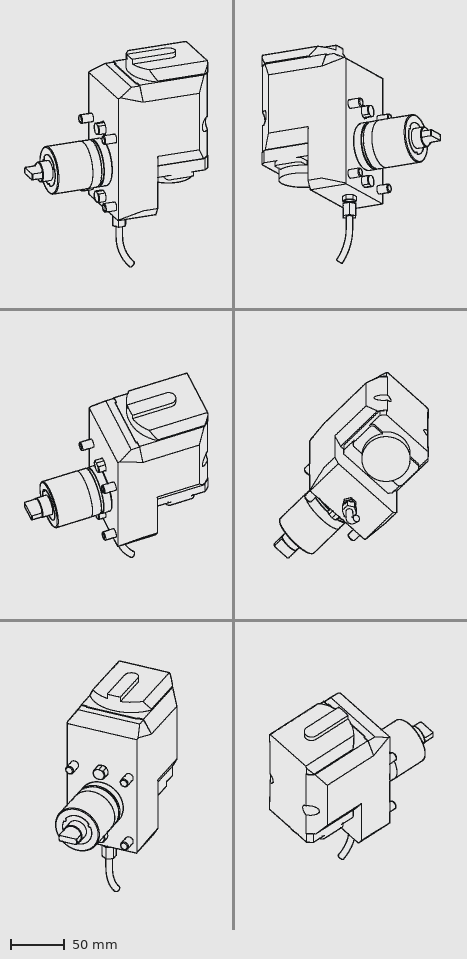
import cadquery as cq
import math


half_width = 40.0
back = 94.0
wall_depth = 38.0
top = 85.4
front_bottom = -45.8
rear_bottom = 1.5
top_bevel_start = 71.3
front_bevel_start = -37.9
rear_bevel_start = 14.5
bevel_slope = math.tan(math.radians(60))
taper_depth = 23.3
taper_inset = 4.2
back_chamfer = 14.0
front_bevel_depth = 15.0
front_bevel_bottom = 76.5
step_drop = 0.8
step_notch = 1.3
step_tongue_half = 26.0
overcut = 21.0

flange_y = 65.2
flange_radius = 39.3
upper_flange_half = 31.5
upper_flange_top = 96.5
upper_flange_lip = 1.0
lower_flange_half = 31.1
lower_flange_bottom = -10.5
key_width = 13.5
key_top = 101.4
key_flat_depth = 0.2
ring_diameter = 45.0
ring_bottom = -22.5
lug_width = 27.8
lug_bottom = -15.0
lug_radius = 3.5

collar_diameter = 44.8
collar_end = 8.5
groove_diameter = 42.0
groove_end = 11.0
band_end = 20.0
nose_diameter = 45.0
nose_end = 55.0
nose_chamfer = 0.8
cover_diameter = 29.9
cover_recess = 0.5
cover_scallop_diameter = 3.4
cover_scallop_angles = (30, 150, 270)
shaft_diameter = 19.0
shaft_end = 65.0
tang_end = 75.7
tang_thickness = 5.9
tang_root_radius = 2.0
shaft_chamfer = 0.6

screw_x = 28.0
fastener_z = 34.0
screw_diameter = 8.2
upper_screw_length = 12.0
lower_screw_length = 11.4
screw_chamfer = 0.8
screw_pocket_diameter = 13.5
screw_pocket_depth = 16.8
pin_diameter = 12.0
pin_length = 7.1
pin_chamfer = 0.6
pin_ridge = 5.3
pin_flat_half = 4.2
pin_hole_diameter = 12.5
pin_hole_depth = 1.7

gland_y = 16.0
adapter_corners = 13.0
adapter_bottom = -50.3
neck_diameter = 8.8
neck_bottom = -52.2
collar_ring_diameter = 9.9
collar_ring_bottom = -53.5
nut_corners = 13.5
nut_bottom = -65.6
cable_diameter = 6.3
cable_lowest = -109.0
cable_bend_angle = 45.0
cable_bend_radius = 41.0
cable_swing = 11.0


def box(x0, x1, y0, y1, z0, z1):
    return cq.Workplane("XY").box(x1 - x0, y1 - y0, z1 - z0, centered=False).translate((x0, y0, z0))


def rod(diameter, y0, y1, x=0, z=0):
    """Cylinder parallel to Y."""
    return cq.Workplane("XZ", origin=(x, y0, z)).circle(diameter / 2).extrude(y0 - y1)


def post(diameter, z0, z1, y):
    """Cylinder parallel to Z."""
    return cq.Workplane("XY", origin=(0, y, z0)).circle(diameter / 2).extrude(z1 - z0)


def both_sides(shape):
    return shape.union(shape.mirror("YZ"))


def bevelled_block(y0, y1, bottom, bottom_bevel_start, block_top=top):
    """Block with its top and bottom side edges bevelled at 60 degrees.

    A lowered top keeps its width, which makes its side bevels slightly flatter.
    """
    top_half = half_width - (top - top_bevel_start) / bevel_slope
    bottom_half = half_width - (bottom_bevel_start - bottom) / bevel_slope
    right_side = [
        (bottom_half, bottom),
        (half_width, bottom_bevel_start),
        (half_width, top_bevel_start),
        (top_half, block_top),
    ]
    left_side = [(-x, z) for x, z in reversed(right_side)]
    outline = cq.Workplane("XZ", origin=(0, y0, 0)).polyline(right_side + left_side).close()
    return outline.extrude(y0 - y1)


def housing():
    step_top = top - step_drop
    body = bevelled_block(0, taper_depth, front_bottom, front_bevel_start, step_top)
    tongue_front = taper_depth - step_notch
    body = body.union(box(-step_tongue_half, step_tongue_half, tongue_front, taper_depth, rear_bottom, top))
    body = body.union(bevelled_block(taper_depth, wall_depth, front_bottom, front_bevel_start))
    body = body.union(bevelled_block(wall_depth, back, rear_bottom, rear_bevel_start))

    plan = [
        (half_width - taper_inset, 0),
        (half_width, taper_depth),
        (half_width, back - back_chamfer),
        (half_width - back_chamfer, back),
    ]
    plan += [(-x, y) for x, y in reversed(plan)]
    plan_outline = cq.Workplane("XY", origin=(0, 0, front_bottom)).polyline(plan).close()
    body = body.intersect(plan_outline.extrude(top - front_bottom))

    front_bevel = (
        cq.Workplane("YZ", origin=(-half_width, 0, 0))
        .polyline([(0, front_bevel_bottom), (front_bevel_depth, step_top), (0, step_top)])
        .close()
        .extrude(2 * half_width)
    )
    pocket = rod(screw_pocket_diameter, back - screw_pocket_depth, back + overcut, screw_x, fastener_z)
    return body.cut(front_bevel).cut(both_sides(pocket))


def upper_flange():
    lip_top = top + upper_flange_lip
    top_half = upper_flange_half - (upper_flange_top - lip_top) / bevel_slope
    profile = [
        (upper_flange_half, top),
        (upper_flange_half, lip_top),
        (top_half, upper_flange_top),
    ]
    profile += [(-x, z) for x, z in reversed(profile)]
    prism = cq.Workplane("XZ").polyline(profile).close().extrude(-back)

    key_bar = box(-key_width / 2, key_width / 2, 0, flange_y, top, key_top)
    key = key_bar.union(post(key_width, top, key_top, flange_y))

    front_flat = flange_y - flange_radius + key_flat_depth
    disc = post(2 * flange_radius, top, key_top, flange_y)
    disc = disc.intersect(box(-half_width, half_width, front_flat, back, top, key_top))
    return disc.intersect(prism.union(key))


def lower_flange():
    disc = post(2 * flange_radius, lower_flange_bottom, rear_bottom, flange_y)
    limits = box(-lower_flange_half, lower_flange_half, wall_depth, back, lower_flange_bottom, rear_bottom)
    ring = post(ring_diameter, ring_bottom, lower_flange_bottom, flange_y)
    lugs = (
        cq.Workplane("XY", origin=(0, flange_y, lug_bottom))
        .rect(2 * lower_flange_half, lug_width)
        .extrude(lower_flange_bottom - lug_bottom)
        .edges("|Z")
        .fillet(lug_radius)
    )
    return disc.intersect(limits).union(ring).union(lugs)


def cover_outline_recess():
    """Shallow round recess in the nose face, with three scallops left standing at its rim."""
    recess = rod(cover_diameter, -nose_end, cover_recess - nose_end)
    for angle in cover_scallop_angles:
        x = cover_diameter / 2 * math.cos(math.radians(angle))
        z = cover_diameter / 2 * math.sin(math.radians(angle))
        recess = recess.cut(rod(cover_scallop_diameter, -nose_end, cover_recess - nose_end, x, z))
    return recess


def drive_shaft():
    """Shaft with a flat tang; both roots of the tang are rounded into the shaft end."""
    half = tang_thickness / 2
    root_half = half + tang_root_radius
    shaft = rod(shaft_diameter, -shaft_end, 0).faces("<Y").chamfer(shaft_chamfer)
    round_bar = rod(shaft_diameter, -tang_end, -shaft_end).faces("<Y").chamfer(shaft_chamfer)
    tang_profile = (
        cq.Workplane("YZ", origin=(-shaft_diameter / 2, 0, 0))
        .moveTo(-shaft_end, root_half)
        .radiusArc((-shaft_end - tang_root_radius, half), tang_root_radius)
        .lineTo(-tang_end, half)
        .lineTo(-tang_end, -half)
        .lineTo(-shaft_end - tang_root_radius, -half)
        .radiusArc((-shaft_end, -root_half), tang_root_radius)
        .close()
    )
    return shaft.union(round_bar.intersect(tang_profile.extrude(shaft_diameter)))


def spindle():
    nose = rod(nose_diameter, -nose_end, -band_end).faces("<Y").chamfer(nose_chamfer)
    nose = nose.cut(cover_outline_recess())
    band = rod(collar_diameter, -band_end, -groove_end)
    groove = rod(groove_diameter, -groove_end, -collar_end)
    collar = rod(collar_diameter, -collar_end, 0).faces(">Y").chamfer(nose_chamfer)
    return nose.union(band).union(groove).union(collar).union(drive_shaft())


def screws():
    shape = cq.Workplane("XY")
    for z, length in ((fastener_z, upper_screw_length), (-fastener_z, lower_screw_length)):
        screw = rod(screw_diameter, -length, 0, screw_x, z).faces("<Y").chamfer(screw_chamfer)
        shape = shape.union(both_sides(screw))
    return shape


def relieved_pin(z, inner_end):
    """Locating pin with two flats meeting in a ridge above and below its axis."""
    pin = rod(pin_diameter, -pin_length, inner_end).faces("<Y").chamfer(pin_chamfer)
    flat_end_z = math.sqrt((pin_diameter / 2) ** 2 - pin_flat_half ** 2)
    side_x = pin_diameter / 2
    flat_slope = (pin_ridge - flat_end_z) / pin_flat_half
    side_z = pin_ridge - flat_slope * side_x
    outline = [(0, pin_ridge), (side_x, side_z), (side_x, -side_z)]
    outline += [(-x, -height) for x, height in outline]
    relief = cq.Workplane("XZ", origin=(0, -pin_length, 0)).polyline(outline).close()
    return pin.intersect(relief.extrude(-pin_length - inner_end)).translate((0, 0, z))


def hexagon(corners, z0, z1, turn):
    prism = cq.Workplane("XY").polygon(6, corners).extrude(z1 - z0)
    return prism.rotate((0, 0, 0), (0, 0, 1), turn).translate((0, gland_y, z0))


def cable():
    end_angle = math.radians(cable_bend_angle)
    swing = math.radians(cable_swing)
    end_z = cable_lowest + cable_diameter / 2 * math.sin(end_angle)
    bend_start = end_z + cable_bend_radius * math.sin(end_angle)

    def bend_point(angle):
        return (
            cable_bend_radius * (1 - math.cos(angle)),
            bend_start - cable_bend_radius * math.sin(angle),
        )

    bend_plane = cq.Plane(
        origin=(0, gland_y, 0),
        xDir=(math.sin(swing), math.cos(swing), 0),
        normal=(math.cos(swing), -math.sin(swing), 0),
    )
    path = (
        cq.Workplane(bend_plane)
        .moveTo(0, nut_bottom)
        .lineTo(0, bend_start)
        .threePointArc(bend_point(end_angle / 2), bend_point(end_angle))
    )
    return cq.Workplane("XY", origin=(0, gland_y, nut_bottom)).circle(cable_diameter / 2).sweep(path)


def cable_gland():
    adapter = hexagon(adapter_corners, adapter_bottom, front_bottom, 0)
    neck = post(neck_diameter, neck_bottom, adapter_bottom, gland_y)
    collar_ring = post(collar_ring_diameter, collar_ring_bottom, neck_bottom, gland_y)
    nut = hexagon(nut_corners, nut_bottom, collar_ring_bottom, 30)
    return adapter.union(neck).union(collar_ring).union(nut).union(cable())


upper_pin_hole = rod(pin_hole_diameter, 0, pin_hole_depth, 0, fastener_z)

result = (
    housing()
    .cut(upper_pin_hole)
    .union(upper_flange())
    .union(lower_flange())
    .union(spindle())
    .union(screws())
    .union(relieved_pin(fastener_z, pin_hole_depth))
    .union(relieved_pin(-fastener_z, 0))
    .union(cable_gland())
)